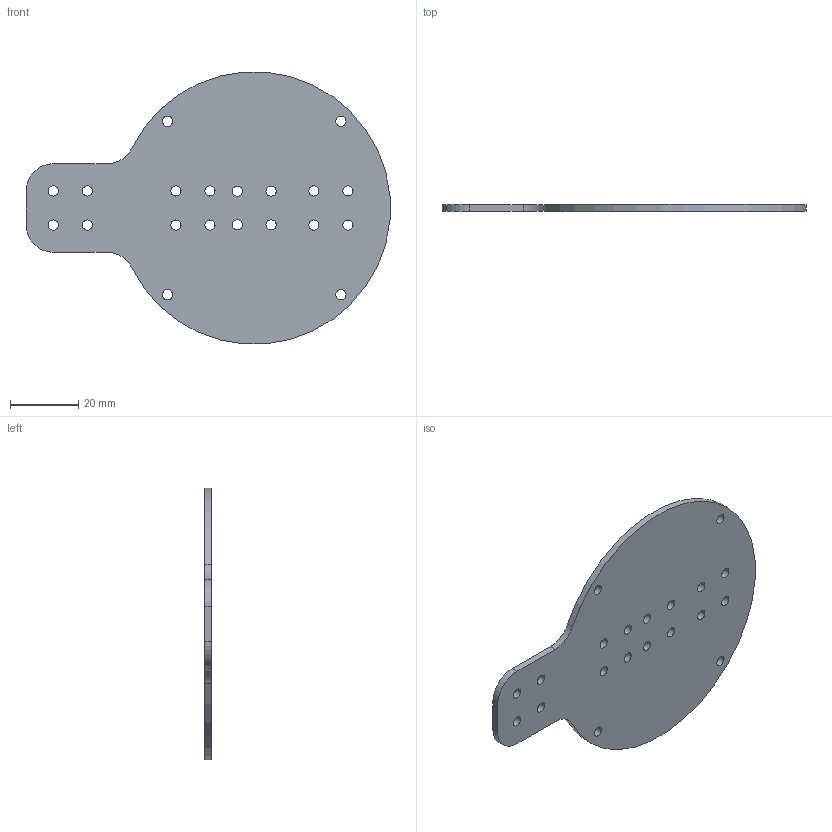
import cadquery as cq
import math

thickness = 2.0
disc_radius = 40.0
overall_length = 107.0
tab_width = 26.0
tab_corner_radius = 8.0
neck_fillet_radius = 8.0

hole_diameter = 3.0
group_pitch = 10.0
group_centers_x = (-54.0, -18.0, 22.5)
center_circle_radius = 7.0
mount_circle_radius = 36.0

tab_end_x = disc_radius - overall_length
tab_half_width = tab_width / 2
straight_down = -90
tab_corner_mid_angle = 135


def circle_point(center_x, center_z, radius, angle_deg):
    """Point on a circle in the XZ plane at the given angle."""
    angle = math.radians(angle_deg)
    return (center_x + radius * math.cos(angle), center_z + radius * math.sin(angle))


def make_plate():
    """Disc and tab outline with tangent fillets at the neck."""
    center_distance = disc_radius + neck_fillet_radius
    neck_z = tab_half_width + neck_fillet_radius
    neck_x = -math.sqrt(center_distance**2 - neck_z**2)
    disc_share = disc_radius / center_distance
    touch_x = neck_x * disc_share
    touch_z = neck_z * disc_share

    disc_direction = math.degrees(math.atan2(-neck_z, -neck_x))
    neck_mid_x, neck_mid_z = circle_point(
        neck_x, neck_z, neck_fillet_radius, (disc_direction + straight_down) / 2
    )

    corner_x = tab_end_x + tab_corner_radius
    corner_z = tab_half_width - tab_corner_radius
    corner_mid_x, corner_mid_z = circle_point(corner_x, corner_z, tab_corner_radius, tab_corner_mid_angle)

    return (
        cq.Workplane("XZ")
        .moveTo(touch_x, touch_z)
        .threePointArc((disc_radius, 0), (touch_x, -touch_z))
        .threePointArc((neck_mid_x, -neck_mid_z), (neck_x, -tab_half_width))
        .lineTo(corner_x, -tab_half_width)
        .threePointArc((corner_mid_x, -corner_mid_z), (tab_end_x, -corner_z))
        .lineTo(tab_end_x, corner_z)
        .threePointArc((corner_mid_x, corner_mid_z), (corner_x, tab_half_width))
        .lineTo(neck_x, tab_half_width)
        .threePointArc((neck_mid_x, neck_mid_z), (touch_x, touch_z))
        .close()
        .extrude(thickness)
    )


def square_points(center_x, half_side):
    """Corners of a square centred on the X axis."""
    return [
        (center_x + sign_x * half_side, sign_z * half_side)
        for sign_x in (-1, 1)
        for sign_z in (-1, 1)
    ]


def make_holes():
    """Cylinders for all through holes: two bolt circles and the 2 x 2 groups."""
    points = []
    for circle_radius in (center_circle_radius, mount_circle_radius):
        points += square_points(0, circle_radius / math.sqrt(2))
    for center_x in group_centers_x:
        points += square_points(center_x, group_pitch / 2)
    return cq.Workplane("XZ").pushPoints(points).circle(hole_diameter / 2).extrude(thickness)


result = make_plate().cut(make_holes())